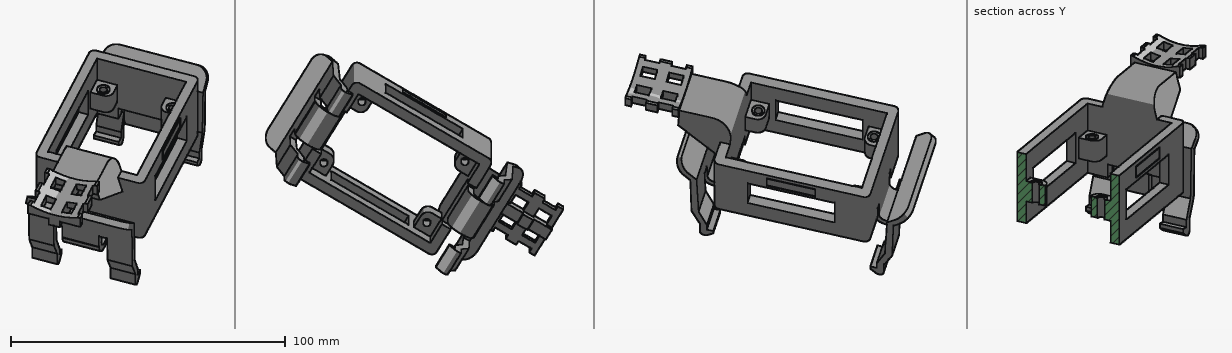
import cadquery as cq
import math


box_width = 42.1
box_length = 58.9
box_height = 28.1
wall = 3.7
corner_radius = 2.1
inner_width = box_width - 2 * wall
inner_length = box_length - 2 * wall

window_length = 32.9
window_bottom = 7.9
window_height = 12.2
pad_length = 18.3
pad_bottom = 21.8
pad_height = 4.4
pad_thickness = 0.2

post_width = 7.9
post_length = 7.0
post_corner_radius = 3.0
post_overlap = wall / 2
post_bottom = 8.8
post_height = 8.4
post_top = post_bottom + post_height
screw_spacing_x = 26.9
screw_spacing_y = 43.8
screw_hole_diameter = 2.8
recess_diameter = 4.6
recess_depth = 0.2

clip_width = 40.1
clip_corner_radius = 5.0
bend_inner_y = 36.0
bend_inner_z = 13.9
bend_outer_y = 38.4
bend_outer_z = 12.7
knee_inner_y = 35.2
knee_inner_z = -6.0
knee_outer_y = 37.9
knee_outer_z = -6.4
tab_outer_y = 44.5
tab_outer_z = 18.4
tab_inner_y = 42.8
tab_inner_z = 20.2
leg_inner_x = 10.4
leg_slot_top = 4.7
foot_inner_y = 32.1
foot_outer_y = 34.7
ankle_inner_z = -13.2
ankle_outer_z = -13.5
hook_tip_y = 29.7
hook_tip_height = 1.7
hook_ledge_rise = 0.2
hook_top = -16.0
hook_bottom = -20.0
hook_round_radius = 1.8

strap_width = 14.3
strap_thickness = 2.4
strap_inner_radius = 3.0
strap_outer_radius = strap_inner_radius + strap_thickness
strap_y = box_length / 2 + strap_inner_radius
strap_z = -1.0
notch_width = 18.1
notch_top = 5.3

arm_back_y = -inner_length / 2
arm_end_y = -45.7
arm_top = 38.2
arm_tip_bottom = 31.4
arm_root_bottom = 21.6
arm_round_radius = 7.6
arm_top_width = 17.0
arm_side_slope = 0.28

saddle_end_y = -65.7
saddle_width = 20.3
saddle_bottom = 36.2
saddle_top = 40.6
saddle_dip_z = 38.8
saddle_curve_width = 18.2
saddle_neck_width = 17.0
keel_width = 4.3
keel_bottom = 33.2
opening_width = 3.7
opening_length = 5.5
middle_bar_length = 4.4
first_bar_length = 2.3
middle_bar_start_y = arm_end_y - first_bar_length - opening_length
opening_centers_y = [
    arm_end_y - first_bar_length - opening_length / 2,
    middle_bar_start_y - middle_bar_length - opening_length / 2,
]


def block(x_range, y_range, z_range):
    """Axis-aligned block between the given limits."""
    (x0, x1), (y0, y1), (z0, z1) = x_range, y_range, z_range
    return cq.Workplane("XY").box(x1 - x0, y1 - y0, z1 - z0, centered=False).translate((x0, y0, z0))


def centered_block(width, y_range, z_range):
    """Block that is symmetric about the YZ plane."""
    return block((-width / 2, width / 2), y_range, z_range)


def extrude_across(profile, width):
    """Extrude a closed YZ profile by half the width to each side of the YZ plane."""
    return profile.extrude(width / 2, both=True)


def make_box():
    """Open rectangular frame with side windows, pads and end-wall notches."""
    body = cq.Workplane("XY").rect(box_width, box_length).extrude(box_height)
    body = body.edges("|Z").fillet(corner_radius)
    pads = centered_block(
        box_width + 2 * pad_thickness,
        (-pad_length / 2, pad_length / 2),
        (pad_bottom, pad_bottom + pad_height),
    )
    cavity = cq.Workplane("XY").rect(inner_width, inner_length).extrude(box_height)
    windows = centered_block(
        box_width,
        (-window_length / 2, window_length / 2),
        (window_bottom, window_bottom + window_height),
    )
    notches = centered_block(notch_width, (-box_length, box_length), (0, notch_top))
    return body.union(pads).cut(cavity).cut(windows).cut(notches)


def make_post(side_x, side_y):
    """Screw post in one inner corner, with a shallow recess around its through hole."""
    x_limits = sorted(side_x * (inner_width / 2 - inset) for inset in (-post_overlap, post_width))
    y_limits = sorted(side_y * (inner_length / 2 - inset) for inset in (-post_overlap, post_length))
    inward_edge = ("<X" if side_x > 0 else ">X", "<Y" if side_y > 0 else ">Y")
    post = block(x_limits, y_limits, (post_bottom, post_top))
    post = post.faces(inward_edge[0]).edges(inward_edge[1]).fillet(post_corner_radius)
    screw_point = (side_x * screw_spacing_x / 2, side_y * screw_spacing_y / 2)
    hole = cq.Workplane("XY", origin=(*screw_point, post_bottom))
    hole = hole.circle(screw_hole_diameter / 2).extrude(post_height)
    recess = cq.Workplane("XY", origin=(*screw_point, post_top - recess_depth))
    recess = recess.circle(recess_diameter / 2).extrude(recess_depth)
    return post.cut(hole).cut(recess)


def make_clip_plate():
    """Bent clip plate with a thumb tab on top and hooked feet below."""
    foot_round_y = foot_outer_y - hook_round_radius
    foot_round_z = hook_bottom + hook_round_radius
    diagonal = hook_round_radius * math.sqrt(0.5)
    profile = (
        cq.Workplane("YZ")
        .moveTo(tab_outer_y, tab_outer_z)
        .lineTo(tab_inner_y, tab_inner_z)
        .lineTo(bend_inner_y, bend_inner_z)
        .lineTo(knee_inner_y, knee_inner_z)
        .lineTo(foot_inner_y, ankle_inner_z)
        .lineTo(foot_inner_y, hook_top - hook_ledge_rise)
        .lineTo(hook_tip_y, hook_top)
        .lineTo(hook_tip_y, hook_top - hook_tip_height)
        .lineTo(foot_round_y - diagonal, foot_round_z - diagonal)
        .threePointArc((foot_round_y, hook_bottom), (foot_outer_y, foot_round_z))
        .lineTo(foot_outer_y, ankle_outer_z)
        .lineTo(knee_outer_y, knee_outer_z)
        .lineTo(bend_outer_y, bend_outer_z)
        .close()
    )
    plate = extrude_across(profile, clip_width)
    tab_corners = cq.selectors.BoxSelector(
        (-clip_width, tab_inner_y, tab_outer_z),
        (clip_width, tab_outer_y, tab_inner_z),
    )
    plate = plate.edges("not |X").edges(tab_corners).fillet(clip_corner_radius)
    y_limits = (hook_tip_y, tab_outer_y)
    slots = centered_block(2 * leg_inner_x, y_limits, (strap_z, leg_slot_top))
    slots = slots.cut(centered_block(strap_width, y_limits, (strap_z, leg_slot_top)))
    foot_gap = centered_block(2 * leg_inner_x, y_limits, (hook_bottom, strap_z))
    return plate.cut(slots).cut(foot_gap)


def make_strap():
    """Half-round strap that hangs from the box wall and turns up into the clip plate."""
    wall_inner_y = strap_y - strap_outer_radius
    wall_outer_y = strap_y - strap_inner_radius
    profile = (
        cq.Workplane("YZ")
        .moveTo(wall_inner_y, notch_top)
        .lineTo(wall_inner_y, strap_z)
        .threePointArc((strap_y, strap_z - strap_outer_radius), (strap_y + strap_outer_radius, strap_z))
        .lineTo(strap_y + strap_inner_radius, strap_z)
        .threePointArc((strap_y, strap_z - strap_inner_radius), (wall_outer_y, strap_z))
        .lineTo(wall_outer_y, notch_top)
        .close()
    )
    return extrude_across(profile, strap_width)


def make_arm():
    """Block that overhangs the -Y wall, rounded at the back and sloped underneath."""
    profile = (
        cq.Workplane("YZ")
        .moveTo(arm_back_y, arm_root_bottom)
        .lineTo(arm_back_y, arm_top)
        .lineTo(arm_end_y, arm_top)
        .lineTo(arm_end_y, arm_tip_bottom)
        .lineTo(-box_length / 2, arm_root_bottom)
        .close()
    )
    side_profile = extrude_across(profile, box_width)
    side_profile = side_profile.edges("|X").edges(">Z and >Y").fillet(arm_round_radius)
    top_half_width = arm_top_width / 2
    bottom_half_width = top_half_width + arm_side_slope * (arm_top - arm_root_bottom)
    tapered = (
        cq.Workplane("XZ", origin=(0, arm_back_y, 0))
        .polyline([
            (-bottom_half_width, arm_root_bottom),
            (bottom_half_width, arm_root_bottom),
            (top_half_width, arm_top),
            (-top_half_width, arm_top),
        ])
        .close()
        .extrude(arm_back_y - arm_end_y)
    )
    return side_profile.intersect(tapered)


def make_saddle():
    """Curved plate on a central keel, with four openings and notched sides."""
    half_curve = saddle_curve_width / 2
    plate = (
        cq.Workplane("XZ", origin=(0, arm_end_y, 0))
        .moveTo(-saddle_width / 2, saddle_bottom)
        .lineTo(saddle_width / 2, saddle_bottom)
        .lineTo(saddle_width / 2, saddle_top)
        .lineTo(half_curve, saddle_top)
        .threePointArc((0, saddle_dip_z), (-half_curve, saddle_top))
        .lineTo(-saddle_width / 2, saddle_top)
        .close()
        .extrude(arm_end_y - saddle_end_y)
    )
    for center_y in opening_centers_y:
        y_limits = (center_y - opening_length / 2, center_y + opening_length / 2)
        z_limits = (saddle_bottom, saddle_top)
        side_notches = centered_block(saddle_width, y_limits, z_limits)
        side_notches = side_notches.cut(centered_block(saddle_neck_width, y_limits, z_limits))
        openings = centered_block(keel_width + 2 * opening_width, y_limits, z_limits)
        openings = openings.cut(centered_block(keel_width, y_limits, z_limits))
        plate = plate.cut(side_notches).cut(openings)
    keel = centered_block(keel_width, (saddle_end_y, arm_end_y), (keel_bottom, saddle_bottom))
    foot = centered_block(
        keel_width,
        (middle_bar_start_y - middle_bar_length, middle_bar_start_y),
        (arm_tip_bottom, keel_bottom),
    )
    return plate.union(keel).union(foot)


result = make_box()
for side_x in (-1, 1):
    for side_y in (-1, 1):
        result = result.union(make_post(side_x, side_y))

clip = make_clip_plate().union(make_strap())
result = result.union(clip).union(clip.mirror("XZ"))
result = result.union(make_arm()).union(make_saddle())